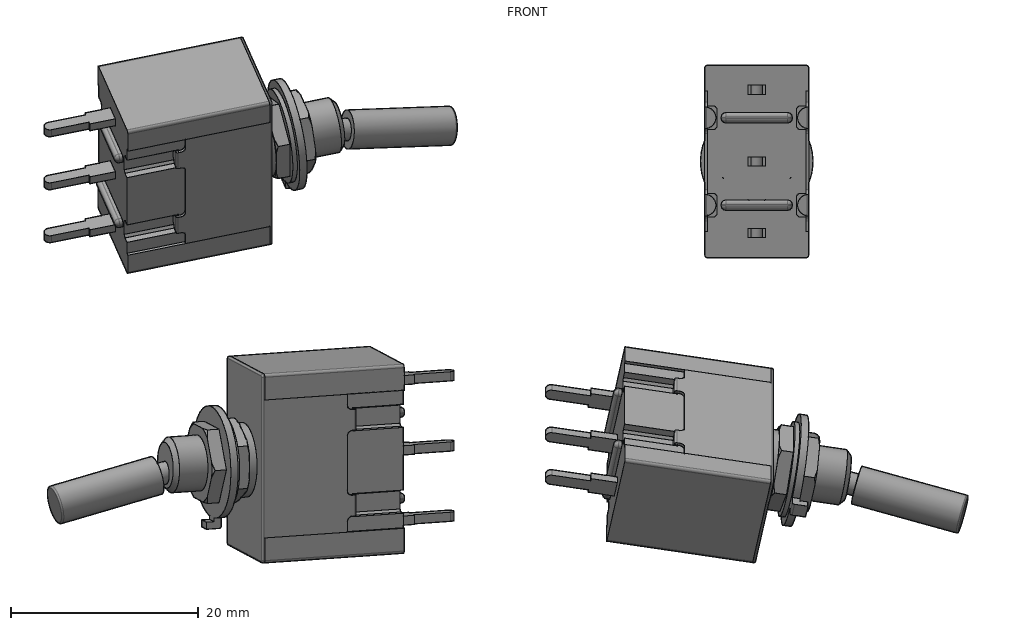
import cadquery as cq
import math


HOUSING_WIDTH = 11.1
HOUSING_HEIGHT = 20.5
HOUSING_DEPTH = 16.1
HOUSING_EDGE_RADIUS = 0.3

STRAP_HEIGHT = 14.95
STRAP_THICKNESS = 0.3
STRAP_BEND_RADIUS = 0.205
STRAP_LENGTH = 9.65
FINGER_WIDTH = 2.3
FINGER_REACH = 1.2
FINGER_END = 10.7
FINGER_ROOT_RADIUS = 0.55

NOTCH_OFFSET = 4.65
NOTCH_HEIGHT = 2.5
NOTCH_DEPTH = 1.3
NOTCH_CHAMFER = 0.27
NOTCH_START = FINGER_END - STRAP_THICKNESS
RIB_LENGTH = 7.55
RIB_WIDTH = 1.1
RIB_PROTRUSION = 0.8
RIB_END_RADIUS = 0.5
RIB_TOP_RADIUS = 0.45

TERMINAL_PITCH = 7.6
TERMINAL_THICKNESS = 1.0
TERMINAL_WIDTH = 1.82
PIN_WIDTH = 1.25
TERMINAL_LENGTH = 7.6
TERMINAL_WIDE_LENGTH = 2.85

COLLAR_DIAMETER = 8.0
COLLAR_THICKNESS = 0.85
BUSHING_DIAMETER = 5.97
BUSHING_TIP_DIAMETER = 4.92
BUSHING_LENGTH = 8.95
BUSHING_CHAMFER = (BUSHING_DIAMETER - BUSHING_TIP_DIAMETER) / 2

NUT_ACROSS_FLATS = 8.0
NUT_THICKNESS = 1.5
NUT_CROWN_DIAMETER = 8.45
NUT_CROWN_ANGLE = 30.0
WASHER_DIAMETER = 12.0
WASHER_THICKNESS = 0.8
WASHER_STEP_DIAMETER = 10.2
WASHER_STEP_THICKNESS = 0.5
TAB_WIDTH = 1.45
TAB_THICKNESS = 0.78
TAB_DROP = 7.1
TAB_LENGTH = 1.7
TAB_BEND_RADIUS = 0.25

LEVER_TILT = 12.1
LEVER_PIVOT = 5.15
LEVER_REACH = 45.6 - HOUSING_DEPTH - TERMINAL_LENGTH
HANDLE_DIAMETER = 4.2
HANDLE_START = 4.92
HANDLE_TIP_RADIUS = 0.2
STEM_DIAMETER = 2.4

REAR_NUT_START = COLLAR_THICKNESS
WASHER_START = REAR_NUT_START + NUT_THICKNESS
FRONT_NUT_START = WASHER_START + WASHER_STEP_THICKNESS + WASHER_THICKNESS


def block(x_range, y_range, z_range):
    """Box between the given limits on each axis."""
    low, high = zip(x_range, y_range, z_range)
    size = [b - a for a, b in zip(low, high)]
    return cq.Workplane("XY").box(*size, centered=False).translate(low)


def disc(diameter, start, thickness):
    """Cylinder on the bushing axis that grows from start toward +Y."""
    plane = cq.Workplane("XZ", origin=(0, start, 0))
    return plane.circle(diameter / 2).extrude(-thickness)


def side_recesses():
    """Shallow recesses along both sides of the housing, in which the strap legs lie."""
    outer_x = HOUSING_WIDTH / 2
    half_height = STRAP_HEIGHT / 2
    recess = block(
        (outer_x - STRAP_THICKNESS, outer_x),
        (-HOUSING_DEPTH, -STRAP_THICKNESS),
        (-half_height, half_height),
    )
    return recess.union(recess.mirror("YZ"))


def notch(side, height):
    """Cutter for one side notch; its floor corners are chamfered."""
    floor_x = HOUSING_WIDTH / 2 - NOTCH_DEPTH
    half_height = NOTCH_HEIGHT / 2
    cutter = block(
        (floor_x, HOUSING_WIDTH / 2),
        (-HOUSING_DEPTH, -NOTCH_START),
        (height - half_height, height + half_height),
    )
    cutter = cutter.edges("|Y and <X").chamfer(NOTCH_CHAMFER)
    return cutter if side > 0 else cutter.mirror("YZ")


def rib(height):
    """Rib across the back of the housing, with a round top and round ends."""
    half_length = RIB_LENGTH / 2
    half_width = RIB_WIDTH / 2
    bar = block(
        (-half_length, half_length),
        (-HOUSING_DEPTH - RIB_PROTRUSION, -HOUSING_DEPTH),
        (height - half_width, height + half_width),
    )
    return bar.edges("|Y").fillet(RIB_END_RADIUS).faces("<Y").edges().fillet(RIB_TOP_RADIUS)


def make_housing():
    half_width = HOUSING_WIDTH / 2
    half_height = HOUSING_HEIGHT / 2
    body = block(
        (-half_width, half_width), (-HOUSING_DEPTH, -STRAP_THICKNESS), (-half_height, half_height)
    )
    body = body.edges("|Y").fillet(HOUSING_EDGE_RADIUS).cut(side_recesses())
    for height in (-NOTCH_OFFSET, NOTCH_OFFSET):
        body = body.union(rib(height))
        for side in (-1, 1):
            body = body.cut(notch(side, height))
    return body


def finger(side, height):
    """Strap finger: a neck with rounded root corners, bent inward to a round tip."""
    outer_x = HOUSING_WIDTH / 2
    half_width = FINGER_WIDTH / 2
    root_half = half_width + FINGER_ROOT_RADIUS
    bend_offset = FINGER_ROOT_RADIUS * (1 - math.sqrt(0.5))
    root_end = -STRAP_LENGTH - FINGER_ROOT_RADIUS
    neck = (
        cq.Workplane("YZ", origin=(outer_x - STRAP_THICKNESS, 0, height))
        .moveTo(-STRAP_LENGTH, -root_half)
        .threePointArc((-STRAP_LENGTH - bend_offset, -half_width - bend_offset), (root_end, -half_width))
        .lineTo(-FINGER_END, -half_width)
        .lineTo(-FINGER_END, half_width)
        .lineTo(root_end, half_width)
        .threePointArc((-STRAP_LENGTH - bend_offset, half_width + bend_offset), (-STRAP_LENGTH, root_half))
        .close()
        .extrude(STRAP_THICKNESS)
    )
    tip_center = outer_x - FINGER_REACH + half_width
    tip = (
        cq.Workplane("XZ", origin=(0, -NOTCH_START, height))
        .moveTo(outer_x, -half_width)
        .lineTo(tip_center, -half_width)
        .threePointArc((outer_x - FINGER_REACH, 0), (tip_center, half_width))
        .lineTo(outer_x, half_width)
        .close()
        .extrude(STRAP_THICKNESS)
    )
    bent = neck.union(tip).edges("|Z and >X and <Y").fillet(STRAP_BEND_RADIUS)
    return bent if side > 0 else bent.mirror("YZ")


def make_frame(lever):
    """Plate and legs with four fingers, joined to the collared bushing that holds the lever."""
    half_width = HOUSING_WIDTH / 2
    half_height = HOUSING_HEIGHT / 2
    plate = block((-half_width, half_width), (-STRAP_THICKNESS, 0), (-half_height, half_height))
    plate = plate.edges("|Y").fillet(HOUSING_EDGE_RADIUS).edges(">Y").fillet(STRAP_BEND_RADIUS)
    leg_span = block((-half_width, half_width), (-STRAP_LENGTH, 0), (-half_height, half_height))
    frame = plate.union(side_recesses().intersect(leg_span))
    for height in (-NOTCH_OFFSET, NOTCH_OFFSET):
        for side in (-1, 1):
            frame = frame.union(finger(side, height))
    bushing = disc(BUSHING_DIAMETER, 0, BUSHING_LENGTH).faces(">Y").chamfer(BUSHING_CHAMFER)
    frame = frame.union(disc(COLLAR_DIAMETER, 0, COLLAR_THICKNESS)).union(bushing)
    return frame.cut(lever)


def make_terminal(height):
    """Flat terminal with a narrow round-ended pin."""
    half_wide = TERMINAL_WIDTH / 2
    half_pin = PIN_WIDTH / 2
    step_y = -HOUSING_DEPTH - TERMINAL_WIDE_LENGTH
    tip_y = -HOUSING_DEPTH - TERMINAL_LENGTH
    return (
        cq.Workplane("XY", origin=(0, 0, height - TERMINAL_THICKNESS / 2))
        .moveTo(-half_wide, -HOUSING_DEPTH)
        .lineTo(-half_wide, step_y)
        .lineTo(-half_pin, step_y)
        .lineTo(-half_pin, tip_y + half_pin)
        .threePointArc((0, tip_y), (half_pin, tip_y + half_pin))
        .lineTo(half_pin, step_y)
        .lineTo(half_wide, step_y)
        .lineTo(half_wide, -HOUSING_DEPTH)
        .close()
        .extrude(TERMINAL_THICKNESS)
    )


def make_lever():
    """Stem and handle, built along Y from the pivot and then tilted toward -Z."""
    tilt = math.radians(LEVER_TILT)
    corner_center = HANDLE_DIAMETER / 2 - HANDLE_TIP_RADIUS
    tip_rise = LEVER_REACH - LEVER_PIVOT - HANDLE_TIP_RADIUS - corner_center * math.sin(tilt)
    length = tip_rise / math.cos(tilt) + HANDLE_TIP_RADIUS
    stem = disc(STEM_DIAMETER, 0, HANDLE_START)
    handle = disc(HANDLE_DIAMETER, HANDLE_START, length - HANDLE_START)
    handle = handle.faces(">Y").edges().fillet(HANDLE_TIP_RADIUS)
    lever = stem.union(handle).rotate((0, 0, 0), (1, 0, 0), -LEVER_TILT)
    return lever.translate((0, LEVER_PIVOT, 0))


def make_nut(start, crown_direction, turn):
    """Hex nut whose crowned face points toward +Y or -Y (crown_direction +1 or -1)."""
    corner_diameter = NUT_ACROSS_FLATS / math.cos(math.radians(30))
    crown_drop = (corner_diameter - NUT_CROWN_DIAMETER) / 2 * math.tan(math.radians(NUT_CROWN_ANGLE))
    corner_radius = corner_diameter / 2
    crown_envelope = (
        cq.Workplane("XY")
        .polyline([
            (0, 0),
            (corner_radius, 0),
            (corner_radius, NUT_THICKNESS - crown_drop),
            (NUT_CROWN_DIAMETER / 2, NUT_THICKNESS),
            (0, NUT_THICKNESS),
        ])
        .close()
        .revolve(360, (0, 0, 0), (0, 1, 0))
    )
    hexagon = cq.Workplane("XZ").polygon(6, corner_diameter).extrude(-NUT_THICKNESS)
    nut = hexagon.intersect(crown_envelope).cut(disc(BUSHING_DIAMETER, 0, NUT_THICKNESS))
    nut = nut.rotate((0, 0, 0), (0, 1, 0), turn)
    if crown_direction < 0:
        nut = nut.mirror("XZ").translate((0, NUT_THICKNESS, 0))
    return nut.translate((0, start, 0))


def make_washer():
    """Stepped washer with a locking tab bent toward the lever."""
    rim_start = WASHER_START + WASHER_STEP_THICKNESS
    rim_end = rim_start + WASHER_THICKNESS
    washer = disc(WASHER_STEP_DIAMETER, WASHER_START, WASHER_STEP_THICKNESS)
    washer = washer.union(disc(WASHER_DIAMETER, rim_start, WASHER_THICKNESS))
    half_tab = TAB_WIDTH / 2
    neck = block((-half_tab, half_tab), (rim_start, rim_end), (-TAB_DROP, -BUSHING_DIAMETER / 2))
    hook = block(
        (-half_tab, half_tab), (rim_start, rim_start + TAB_LENGTH), (-TAB_DROP, -TAB_DROP + TAB_THICKNESS)
    )
    tab = neck.union(hook).edges("|X and <Y and <Z").fillet(TAB_BEND_RADIUS)
    bore = disc(BUSHING_DIAMETER, WASHER_START, rim_end - WASHER_START)
    return washer.union(tab).cut(bore)


housing = make_housing()
lever = make_lever()
frame = make_frame(lever)
washer = make_washer()
nuts = [
    make_nut(REAR_NUT_START, -1, 30),
    make_nut(FRONT_NUT_START, 1, 0),
]
terminals = [make_terminal(row * TERMINAL_PITCH) for row in (-1, 0, 1)]

bodies = [housing, frame, lever, washer, *nuts, *terminals]
result = cq.Compound.makeCompound([body.solids().val() for body in bodies])